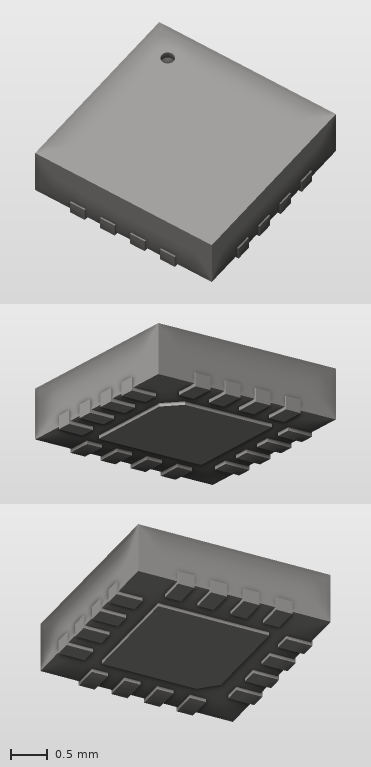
import cadquery as cq

OVERALL_SIDE = 3.0
OVERALL_HEIGHT = 0.8

LEAD_PROTRUSION = 0.025
STANDOFF = 0.05
BODY_SIDE = OVERALL_SIDE - 2 * LEAD_PROTRUSION

LEADS_PER_SIDE = 4
LEAD_PITCH = 0.5
LEAD_WIDTH = 0.245
LEAD_LENGTH = 0.4
LEAD_HEIGHT = 0.2

THERMAL_PAD_SIDE = 1.7
THERMAL_PAD_CHAMFER = 0.25

DIMPLE_DIAMETER = 0.2
DIMPLE_OFFSET = 1.0
DIMPLE_DEPTH = 0.1


def make_body():
    body = (
        cq.Workplane("XY")
        .workplane(offset=STANDOFF)
        .rect(BODY_SIDE, BODY_SIDE)
        .extrude(OVERALL_HEIGHT - STANDOFF)
    )
    dimple = (
        cq.Workplane("XY")
        .workplane(offset=OVERALL_HEIGHT - DIMPLE_DEPTH)
        .center(-DIMPLE_OFFSET, DIMPLE_OFFSET)
        .circle(DIMPLE_DIAMETER / 2)
        .extrude(DIMPLE_DEPTH)
    )
    return body.cut(dimple)


def make_thermal_pad():
    pad = cq.Workplane("XY").rect(THERMAL_PAD_SIDE, THERMAL_PAD_SIDE).extrude(STANDOFF)
    return pad.edges("|Z and <X and >Y").chamfer(THERMAL_PAD_CHAMFER)


def make_lead(offset):
    """Lead on the -Y side, centred at X = offset."""
    outer_face = -OVERALL_SIDE / 2
    body_face = -BODY_SIDE / 2
    return (
        cq.Workplane("YZ")
        .workplane(offset=offset - LEAD_WIDTH / 2)
        .moveTo(outer_face, 0)
        .lineTo(outer_face + LEAD_LENGTH, 0)
        .lineTo(outer_face + LEAD_LENGTH, STANDOFF)
        .lineTo(body_face, STANDOFF)
        .lineTo(body_face, LEAD_HEIGHT)
        .lineTo(outer_face, LEAD_HEIGHT)
        .close()
        .extrude(LEAD_WIDTH)
    )


result = make_body().union(make_thermal_pad())
for side_angle in (0, 90, 180, 270):
    for position in range(LEADS_PER_SIDE):
        lead_offset = (position - (LEADS_PER_SIDE - 1) / 2) * LEAD_PITCH
        lead = make_lead(lead_offset).rotate((0, 0, 0), (0, 0, 1), side_angle)
        result = result.union(lead)